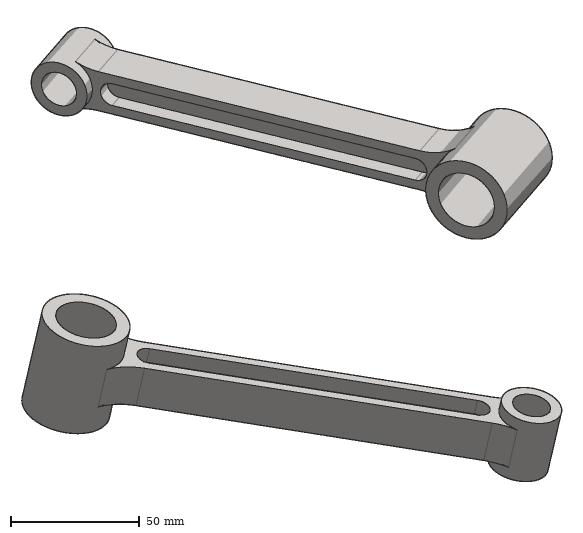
import cadquery as cq
import math

CENTER_DISTANCE = 178.0
SMALL_OUTER_RADIUS = 12.0
SMALL_BORE_RADIUS = 7.5
SMALL_LENGTH = 28.0
LARGE_OUTER_RADIUS = 17.5
LARGE_BORE_RADIUS = 12.0
LARGE_LENGTH = 42.0

ARM_HEIGHT = 18.0
ARM_THICKNESS = 18.0
BLEND_RADIUS = 25.0

POCKET_LENGTH = 140.0
POCKET_HEIGHT = 10.0
POCKET_DEPTH = 6.5
POCKET_START = 15.5


def cylinder(center_x, radius, length):
    """Cylinder along Y, centred on the XZ plane."""
    return cq.Workplane("XZ", origin=(center_x, length / 2, 0)).circle(radius).extrude(length)


def blend_points(boss_radius):
    """Arm tangent point, arc midpoint and boss tangent point, as (distance along the arm, height).

    The upper blend arc is tangent to the arm's flat top and to the boss, whose axis is at (0, 0).
    """
    center_height = ARM_HEIGHT / 2 + BLEND_RADIUS
    center_reach = boss_radius + BLEND_RADIUS
    center_along = math.sqrt(center_reach**2 - center_height**2)
    middle_angle = math.atan2(center_along, center_height) / 2
    arm_point = (center_along, ARM_HEIGHT / 2)
    middle_point = (
        center_along - BLEND_RADIUS * math.sin(middle_angle),
        center_height - BLEND_RADIUS * math.cos(middle_angle),
    )
    boss_point = (
        center_along * boss_radius / center_reach,
        center_height * boss_radius / center_reach,
    )
    return arm_point, middle_point, boss_point


def below(point):
    """Mirror image of a point in the arm's centre line."""
    return point[0], -point[1]


def make_arm():
    """Flat-sided arm that flares tangentially into both bosses."""
    small_arm, small_middle, small_boss = blend_points(SMALL_OUTER_RADIUS)
    large_arm, large_middle, large_boss = [
        (CENTER_DISTANCE - along, height) for along, height in blend_points(LARGE_OUTER_RADIUS)
    ]
    return (
        cq.Workplane("XZ", origin=(0, ARM_THICKNESS / 2, 0))
        .moveTo(*small_boss)
        .threePointArc(small_middle, small_arm)
        .lineTo(*large_arm)
        .threePointArc(large_middle, large_boss)
        .lineTo(*below(large_boss))
        .threePointArc(below(large_middle), below(large_arm))
        .lineTo(*below(small_arm))
        .threePointArc(below(small_middle), below(small_boss))
        .close()
        .extrude(ARM_THICKNESS)
    )


def make_pocket(side):
    """Pocket cutter; side is -1 for the -Y face of the arm and +1 for the +Y face."""
    middle_x = POCKET_START + POCKET_LENGTH / 2
    floor_y = side * (ARM_THICKNESS / 2 - POCKET_DEPTH)
    return (
        cq.Workplane("XZ", origin=(middle_x, floor_y, 0))
        .slot2D(POCKET_LENGTH, POCKET_HEIGHT)
        .extrude(-side * POCKET_DEPTH)
    )


arm = make_arm()
for face_side in (-1, 1):
    arm = arm.cut(make_pocket(face_side))

small_boss_body = cylinder(0, SMALL_OUTER_RADIUS, SMALL_LENGTH)
large_boss_body = cylinder(CENTER_DISTANCE, LARGE_OUTER_RADIUS, LARGE_LENGTH)
small_bore = cylinder(0, SMALL_BORE_RADIUS, SMALL_LENGTH)
large_bore = cylinder(CENTER_DISTANCE, LARGE_BORE_RADIUS, LARGE_LENGTH)

result = arm.union(small_boss_body).union(large_boss_body).cut(small_bore).cut(large_bore)